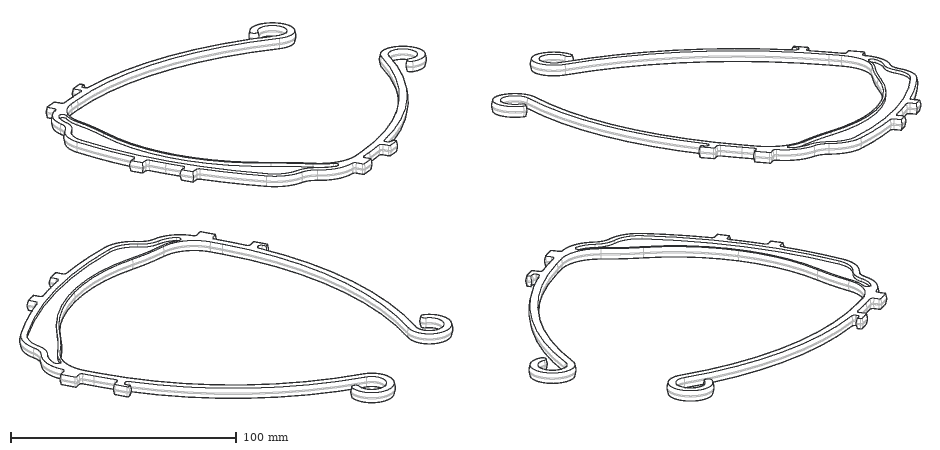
import cadquery as cq
import math

THICKNESS = 5.0
OVERALL_WIDTH = 158.68
OVERALL_LENGTH = 184.17
HALF_THICKNESS = THICKNESS / 2
LAND_HEIGHT = 0.6
HALF_LAND = LAND_HEIGHT / 2
DRAFT_INSET = 0.5

STRIP_WIDTH = 4.5
WALL_X = -74.9
ARM_START_Y = 57.5
ARM_OUTER_RADIUS = 157.5
ARM_INNER_RADIUS = ARM_OUTER_RADIUS - STRIP_WIDTH
ARM_CENTER = (WALL_X + ARM_OUTER_RADIUS, ARM_START_Y)
HOOK_INNER_RADIUS = 6.0
HOOK_OUTER_RADIUS = HOOK_INNER_RADIUS + STRIP_WIDTH
HOOK_TIP_ANGLE = 217.5

INNER_CORNER_RADIUS = 17.9
INNER_CORNER_CENTER = (WALL_X + STRIP_WIDTH + INNER_CORNER_RADIUS, 51.6)
INNER_BRIDGE_RADIUS = 105.0
INNER_FRONT_RADIUS = 85.0
INNER_FRONT_Y = 16.6
INNER_FRONT_CENTER = (0, INNER_FRONT_Y + INNER_FRONT_RADIUS)

OUTER_FRONT_RADIUS = 187.5
OUTER_FRONT_Y = 4.0
OUTER_FRONT_CENTER = (0, OUTER_FRONT_Y + OUTER_FRONT_RADIUS)
KNEE_RADIUS = 17.1
KNEE_CENTER_X = -42.9
WAIST_RADIUS = 8.5
SHOULDER_RADIUS = 17.2
SHOULDER_CENTER = (-57.1, 42.7)

FRONT_TAB_X = (-15.9, -9.2)
LOWER_TAB_Y = (42.7, 51.2)
UPPER_TAB_Y = (68.5, 76.4)
TAB_ROOT_FILLET = 0.9
TAB_CORNER_RADIUS = 1.0
NOTCH_FLOOR_Y = 73.2
NOTCH_X = -76.3

RECESS_DEPTH = 1.5
RECESS_INNER_RIM = 1.65
RECESS_OUTER_RIM = 3.35
RECESS_END_RADIUS = 1.7

OVERLAP = 3.0


def polar(center, radius, angle):
    """Point at an angle in degrees on a circle."""
    a = math.radians(angle)
    return (center[0] + radius * math.cos(a), center[1] + radius * math.sin(a))


def toward(start, end, distance):
    """Point at a distance from start along the direction to end."""
    span = math.dist(start, end)
    return tuple(s + (e - s) * distance / span for s, e in zip(start, end))


def circle_crossing(c1, r1, c2, r2):
    """Crossing of two circles that lies to the left of the direction from c1 to c2."""
    d = math.dist(c1, c2)
    along = (d * d + r1 * r1 - r2 * r2) / (2 * d)
    across = math.sqrt(r1 * r1 - along * along)
    ux, uy = (c2[0] - c1[0]) / d, (c2[1] - c1[1]) / d
    return (c1[0] + along * ux - across * uy, c1[1] + along * uy + across * ux)


def arc_through(start, middle, end):
    return cq.Edge.makeThreePointArc(cq.Vector(*start), cq.Vector(*middle), cq.Vector(*end))


def arc(center, start, end, long_way=False):
    """Arc about center from start to end, by the shorter way unless long_way is set."""
    middle = ((start[0] + end[0]) / 2, (start[1] + end[1]) / 2)
    radius = math.dist(center, start)
    middle = toward(center, middle, -radius if long_way else radius)
    return arc_through(start, middle, end)


def line(start, end):
    return cq.Edge.makeLine(cq.Vector(*start), cq.Vector(*end))


def front_arc_end(center, radius, x):
    """Lower point at a given x on one of the wide front arcs."""
    return (x, center[1] - math.sqrt(radius**2 - x**2))


def left_point(center, radius, y):
    """Left-hand point at a given y on a circle."""
    return (center[0] - math.sqrt(radius**2 - (y - center[1]) ** 2), y)


hook_y = OVERALL_LENGTH - HOOK_OUTER_RADIUS
hook_reach = ARM_OUTER_RADIUS + HOOK_INNER_RADIUS
HOOK_CENTER = (ARM_CENTER[0] - math.sqrt(hook_reach**2 - (hook_y - ARM_START_Y) ** 2), hook_y)
knee_reach = OUTER_FRONT_RADIUS - KNEE_RADIUS
KNEE_CENTER = (KNEE_CENTER_X, OUTER_FRONT_CENTER[1] - math.sqrt(knee_reach**2 - KNEE_CENTER_X**2))
WAIST_CENTER = circle_crossing(
    KNEE_CENTER, KNEE_RADIUS + WAIST_RADIUS, SHOULDER_CENTER, SHOULDER_RADIUS + WAIST_RADIUS)
INNER_BRIDGE_CENTER = circle_crossing(
    INNER_FRONT_CENTER, INNER_FRONT_RADIUS + INNER_BRIDGE_RADIUS,
    INNER_CORNER_CENTER, INNER_CORNER_RADIUS + INNER_BRIDGE_RADIUS)



def frame_outline(inset):
    """Left half of the frame, carried a little past X = 0, with its edge moved inward by inset."""
    inner_front_radius = INNER_FRONT_RADIUS + inset
    inner_corner_radius = INNER_CORNER_RADIUS + inset
    arm_inner_radius = ARM_INNER_RADIUS + inset
    arm_outer_radius = ARM_OUTER_RADIUS - inset
    shoulder_radius = SHOULDER_RADIUS - inset
    knee_radius = KNEE_RADIUS - inset
    outer_front_radius = OUTER_FRONT_RADIUS - inset
    inner_wall_x = WALL_X + STRIP_WIDTH - inset
    outer_wall_x = WALL_X + inset
    tab_middle_y = sum(LOWER_TAB_Y) / 2

    inner_end = front_arc_end(INNER_FRONT_CENTER, inner_front_radius, OVERLAP)
    inner_bridge = toward(INNER_FRONT_CENTER, INNER_BRIDGE_CENTER, inner_front_radius)
    inner_corner = toward(INNER_CORNER_CENTER, INNER_BRIDGE_CENTER, inner_corner_radius)
    inner_wall = (inner_wall_x, INNER_CORNER_CENTER[1])
    inner_arm = (inner_wall_x, ARM_START_Y)
    hook_outer = toward(ARM_CENTER, HOOK_CENTER, arm_inner_radius)
    tip_center = polar(HOOK_CENTER, HOOK_INNER_RADIUS + STRIP_WIDTH / 2, HOOK_TIP_ANGLE)
    tip_outer = polar(HOOK_CENTER, HOOK_OUTER_RADIUS - inset, HOOK_TIP_ANGLE)
    tip_end = polar(tip_center, STRIP_WIDTH / 2 - inset, HOOK_TIP_ANGLE + 90)
    tip_inner = polar(HOOK_CENTER, HOOK_INNER_RADIUS + inset, HOOK_TIP_ANGLE)
    hook_inner = toward(ARM_CENTER, HOOK_CENTER, arm_outer_radius)
    outer_arm = (outer_wall_x, ARM_START_Y)
    outer_wall = (outer_wall_x, tab_middle_y)
    shoulder_top = left_point(SHOULDER_CENTER, shoulder_radius, tab_middle_y)
    shoulder_end = toward(SHOULDER_CENTER, WAIST_CENTER, shoulder_radius)
    waist_end = toward(KNEE_CENTER, WAIST_CENTER, knee_radius)
    knee_end = toward(OUTER_FRONT_CENTER, KNEE_CENTER, outer_front_radius)
    outer_end = front_arc_end(OUTER_FRONT_CENTER, outer_front_radius, OVERLAP)
    return cq.Wire.assembleEdges([
        arc(INNER_FRONT_CENTER, inner_end, inner_bridge),
        arc(INNER_BRIDGE_CENTER, inner_bridge, inner_corner),
        arc(INNER_CORNER_CENTER, inner_corner, inner_wall),
        line(inner_wall, inner_arm),
        arc(ARM_CENTER, inner_arm, hook_outer),
        arc(HOOK_CENTER, hook_outer, tip_outer, long_way=True),
        arc_through(tip_outer, tip_end, tip_inner),
        arc(HOOK_CENTER, tip_inner, hook_inner, long_way=True),
        arc(ARM_CENTER, hook_inner, outer_arm),
        line(outer_arm, outer_wall),
        line(outer_wall, shoulder_top),
        arc(SHOULDER_CENTER, shoulder_top, shoulder_end),
        arc(WAIST_CENTER, shoulder_end, waist_end),
        arc(KNEE_CENTER, waist_end, knee_end),
        arc(OUTER_FRONT_CENTER, knee_end, outer_end),
        line(outer_end, inner_end),
    ])


def rectangle(x_range, y_range):
    (x0, x1), (y0, y1) = x_range, y_range
    corners = [(x0, y0), (x1, y0), (x1, y1), (x0, y1)]
    return cq.Wire.makePolygon([cq.Vector(*c) for c in corners], close=True)


def fillet_corners(profile, corners, radius):
    for x, y in corners:
        corner = cq.selectors.NearestToPointSelector((x, y, 0))
        profile = profile.vertices(corner).fillet(radius).reset()
    return profile


def half_profile(inset):
    """Outline of the left half with its tabs, with its edge moved inward by inset."""
    end_x = -OVERALL_WIDTH / 2 + inset
    wall_x = WALL_X + inset
    buried_x = WALL_X + STRIP_WIDTH / 2
    lower_y = (LOWER_TAB_Y[0] + inset, LOWER_TAB_Y[1] - inset)
    upper_y = (UPPER_TAB_Y[0] + inset, UPPER_TAB_Y[1] - inset)
    notch_x = NOTCH_X - inset
    notch_y = NOTCH_FLOOR_Y - inset
    front_x = (FRONT_TAB_X[0] + inset, FRONT_TAB_X[1] - inset)
    arm_radius = ARM_OUTER_RADIUS - inset
    shoulder_radius = SHOULDER_RADIUS - inset
    front_radius = OUTER_FRONT_RADIUS - inset

    roots = [
        left_point(SHOULDER_CENTER, shoulder_radius, lower_y[0]),
        (wall_x, lower_y[1]),
        (wall_x, upper_y[0]),
        (notch_x, notch_y),
        left_point(ARM_CENTER, arm_radius, notch_y),
    ]
    roots += [front_arc_end(OUTER_FRONT_CENTER, front_radius, x) for x in front_x]
    tab_corners = [(end_x, y) for y in lower_y + upper_y]
    profile = (
        cq.Sketch()
        .face(frame_outline(inset))
        .face(rectangle((end_x, buried_x), lower_y))
        .face(rectangle((end_x, buried_x), (upper_y[0], notch_y)))
        .face(rectangle((end_x, notch_x), upper_y))
        .face(rectangle(front_x, (inset, OUTER_FRONT_Y + OVERLAP)))
        .clean()
        .reset()
    )
    profile = fillet_corners(profile, roots, TAB_ROOT_FILLET + inset)
    return fillet_corners(profile, tab_corners, TAB_CORNER_RADIUS - inset)


def half_frame():
    """Left half, widest at the mid-height band, trimmed flat at X = 0."""
    widest = half_profile(0)
    land_top = widest.moved(cq.Location((0, 0, HALF_LAND)))
    face = half_profile(DRAFT_INSET).moved(cq.Location((0, 0, HALF_THICKNESS)))
    land = cq.Workplane().placeSketch(widest).extrude(HALF_LAND, both=True)
    upper = cq.Workplane().placeSketch(land_top, face).loft(ruled=True)
    body = land.union(upper).union(upper.mirror("XY"))
    left_side = (
        cq.Workplane()
        .box(OVERALL_WIDTH, OVERALL_LENGTH + OVERLAP, THICKNESS, centered=(False, False, True))
        .translate((-OVERALL_WIDTH, 0, 0))
    )
    return body.intersect(left_side)


def half_recess():
    """Left half of the recess, which follows the band's edges at two rim widths."""
    shoulder_radius = SHOULDER_RADIUS - RECESS_OUTER_RIM
    knee_radius = KNEE_RADIUS - RECESS_OUTER_RIM
    outer_radius = OUTER_FRONT_RADIUS - RECESS_OUTER_RIM
    corner_radius = INNER_CORNER_RADIUS + RECESS_INNER_RIM
    inner_radius = INNER_FRONT_RADIUS + RECESS_INNER_RIM
    end_center = circle_crossing(
        SHOULDER_CENTER, shoulder_radius - RECESS_END_RADIUS,
        INNER_CORNER_CENTER, corner_radius + RECESS_END_RADIUS)

    inner_start = front_arc_end(INNER_FRONT_CENTER, inner_radius, OVERLAP)
    inner_bridge = toward(INNER_FRONT_CENTER, INNER_BRIDGE_CENTER, inner_radius)
    inner_corner = toward(INNER_CORNER_CENTER, INNER_BRIDGE_CENTER, corner_radius)
    end_inner = toward(INNER_CORNER_CENTER, end_center, corner_radius)
    end_tip = toward(end_center, KNEE_CENTER, -RECESS_END_RADIUS)
    end_outer = toward(SHOULDER_CENTER, end_center, shoulder_radius)
    shoulder_end = toward(SHOULDER_CENTER, WAIST_CENTER, shoulder_radius)
    waist_end = toward(KNEE_CENTER, WAIST_CENTER, knee_radius)
    knee_end = toward(OUTER_FRONT_CENTER, KNEE_CENTER, outer_radius)
    outer_end = front_arc_end(OUTER_FRONT_CENTER, outer_radius, OVERLAP)
    outline = cq.Wire.assembleEdges([
        arc(INNER_FRONT_CENTER, inner_start, inner_bridge),
        arc(INNER_BRIDGE_CENTER, inner_bridge, inner_corner),
        arc(INNER_CORNER_CENTER, inner_corner, end_inner),
        arc_through(end_inner, end_tip, end_outer),
        arc(SHOULDER_CENTER, end_outer, shoulder_end),
        arc(WAIST_CENTER, shoulder_end, waist_end),
        arc(KNEE_CENTER, waist_end, knee_end),
        arc(OUTER_FRONT_CENTER, knee_end, outer_end),
        line(outer_end, inner_start),
    ])
    recess = cq.Solid.extrudeLinear(outline, [], cq.Vector(0, 0, RECESS_DEPTH))
    return cq.Workplane(recess).translate((0, 0, HALF_THICKNESS - RECESS_DEPTH))


half = half_frame().cut(half_recess())
result = half.union(half.mirror("YZ"))